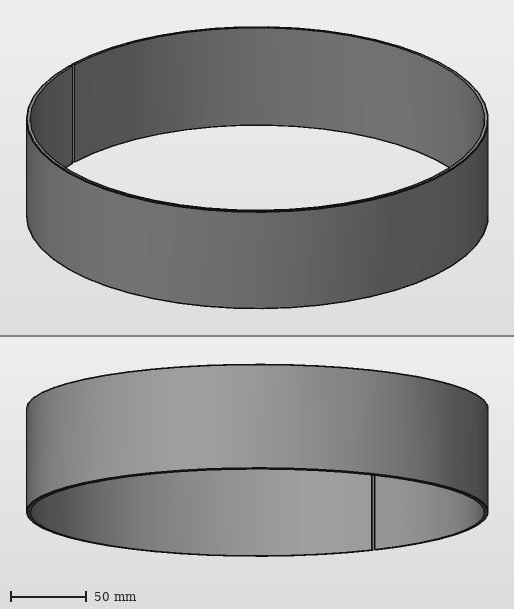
import cadquery as cq

outer_diameter = 305.0
wall_thickness = 2.5
height = 70.0
edge_chamfer = 0.5

gap_angle = 1.0
full_turn = 360.0

outer_radius = outer_diameter / 2
middle_radius = outer_radius - wall_thickness / 2

section = (
    cq.Sketch()
    .rect(wall_thickness, height)
    .vertices('<X')
    .chamfer(edge_chamfer)
    .moved(cq.Location(cq.Vector(-middle_radius, height / 2, 0)))
)

result = (
    cq.Workplane("XZ")
    .placeSketch(section)
    .revolve(full_turn - gap_angle, (0, 0, 0), (0, 1, 0))
)